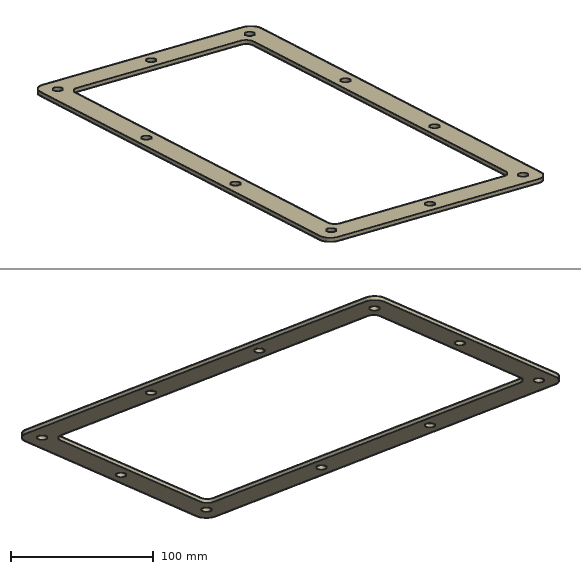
import cadquery as cq

length = 346.0
width = 193.8
thickness = 3.2
outer_corner_radius = 9.5

side_border = 19.0
window_length = length - 2 * side_border
window_width = width - 2 * side_border
window_corner_radius = 6.2

hole_diameter = 7.3
corner_hole_inset = 12.8
edge_hole_inset = 9.7
long_side_hole_spacing = 104.5

corner_hole_x = length / 2 - corner_hole_inset
corner_hole_y = width / 2 - corner_hole_inset
end_hole_x = length / 2 - edge_hole_inset
long_side_hole_x = long_side_hole_spacing / 2
long_side_hole_y = width / 2 - edge_hole_inset


def rounded_plate(size_x, size_y, corner_radius):
    """Plate standing on the XY plane with rounded vertical corners."""
    plate = cq.Workplane("XY").box(size_x, size_y, thickness, centered=(True, True, False))
    return plate.edges("|Z").fillet(corner_radius)


def hole_positions():
    """Four corner holes, two along each long side and one in each short side."""
    positions = []
    for side in (-1, 1):
        positions.append((side * end_hole_x, 0))
        for end in (-1, 1):
            positions.append((end * corner_hole_x, side * corner_hole_y))
            positions.append((end * long_side_hole_x, side * long_side_hole_y))
    return positions


frame = rounded_plate(length, width, outer_corner_radius)
window = rounded_plate(window_length, window_width, window_corner_radius)
holes = (
    cq.Workplane("XY")
    .pushPoints(hole_positions())
    .circle(hole_diameter / 2)
    .extrude(thickness)
)

result = frame.cut(window).cut(holes)